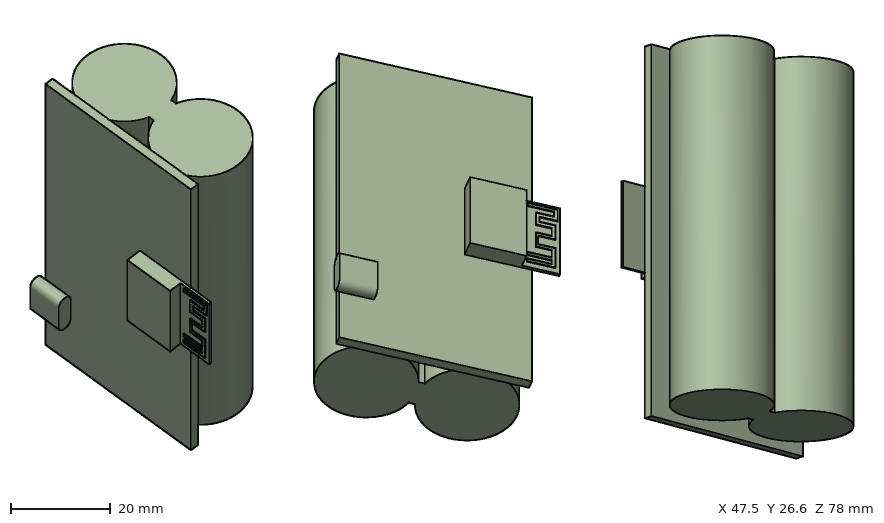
import cadquery as cq

BOARD_WIDTH = 40.7
BOARD_HEIGHT = 78.0
BOARD_THICKNESS = 2.0

CELL_DIAMETER = 21.0
CELL_SPACING = 21.3
CELL_HEIGHT = 74.25
WEB_DEPTH = 6.4
PACK_OFFSET_X = 0.15

USB_WIDTH = 8.0
USB_DEPTH = 3.35
USB_HEIGHT = 9.1
USB_CORNER_RADIUS = 1.55
USB_OVERHANG = 1.0
USB_CENTER_Z = -22.85

MODULE_LEFT = 6.1
MODULE_WIDTH = 20.0
MODULE_HEIGHT = 18.1
MODULE_CENTER_Z = 0.6
CAN_WIDTH = 11.9
CAN_DEPTH = 3.6
CARRIER_THICKNESS = 0.6
TRACE_THICKNESS = 0.2

TRACE_WIDTH = 0.8
TRACE_NECK_WIDTH = 0.5
UPPER_LOOP_RUN_WIDTH = 1.0
LEG_END_INSET = 7.0
LOOP_INSET = 5.15
RIGHT_COLUMN_INSET = 1.0
TOP_COLUMN_INSET = 0.55

TOP_RUN_DROP = 0.7
UPPER_LOOP_START_DROP = 2.8
UPPER_LOOP_END_DROP = 5.15
LOWER_LOOP_START_DROP = 8.3
LOWER_LOOP_END_DROP = 11.4
FEED_LEG_DROP = 14.2
GROUND_LEG_DROP = 16.0


def front_box(left, width, center_z, height, depth):
    """Box standing on the front face of the board and reaching toward -Y."""
    return (
        cq.Workplane("XY")
        .box(width, depth, height, centered=(False, False, True))
        .translate((left, -depth, center_z))
    )


def make_board():
    return cq.Workplane("XY").box(
        BOARD_WIDTH, BOARD_THICKNESS, BOARD_HEIGHT, centered=(True, False, True)
    )


def make_battery_pack():
    center_y = BOARD_THICKNESS + CELL_DIAMETER / 2
    cell_centers = [(-CELL_SPACING / 2, 0), (CELL_SPACING / 2, 0)]
    cells = cq.Workplane("XY").pushPoints(cell_centers).circle(CELL_DIAMETER / 2).extrude(CELL_HEIGHT)
    web = cq.Workplane("XY").rect(CELL_SPACING, WEB_DEPTH).extrude(CELL_HEIGHT)
    return cells.union(web).translate((PACK_OFFSET_X, center_y, -CELL_HEIGHT / 2))


def make_usb_socket():
    left = -BOARD_WIDTH / 2 - USB_OVERHANG
    socket = front_box(left, USB_WIDTH, USB_CENTER_Z, USB_HEIGHT, USB_DEPTH)
    return socket.edges("|X").fillet(USB_CORNER_RADIUS)


def make_antenna_trace():
    """Meandering trace with two legs at the bottom, raised from the carrier."""
    right_edge = MODULE_LEFT + MODULE_WIDTH
    top_edge = MODULE_CENTER_Z + MODULE_HEIGHT / 2

    leg_end = right_edge - LEG_END_INSET
    loop_outer = right_edge - LOOP_INSET
    upper_loop_inner = loop_outer + TRACE_WIDTH
    lower_loop_inner = loop_outer + TRACE_NECK_WIDTH
    column_outer = right_edge - RIGHT_COLUMN_INSET
    column_inner = column_outer - TRACE_WIDTH
    top_column_outer = right_edge - TOP_COLUMN_INSET
    top_column_inner = top_column_outer - TRACE_WIDTH

    top_run = top_edge - TOP_RUN_DROP
    upper_loop_start = top_edge - UPPER_LOOP_START_DROP
    upper_loop_end = top_edge - UPPER_LOOP_END_DROP
    lower_loop_start = top_edge - LOWER_LOOP_START_DROP
    lower_loop_end = top_edge - LOWER_LOOP_END_DROP
    feed_leg = top_edge - FEED_LEG_DROP
    ground_leg = top_edge - GROUND_LEG_DROP

    outline = [
        (leg_end, top_run),
        (top_column_outer, top_run),
        (top_column_outer, upper_loop_start - UPPER_LOOP_RUN_WIDTH),
        (upper_loop_inner, upper_loop_start - UPPER_LOOP_RUN_WIDTH),
        (upper_loop_inner, upper_loop_end),
        (column_outer, upper_loop_end),
        (column_outer, lower_loop_start - TRACE_WIDTH),
        (lower_loop_inner, lower_loop_start - TRACE_WIDTH),
        (lower_loop_inner, lower_loop_end),
        (column_outer, lower_loop_end),
        (column_outer, ground_leg - TRACE_WIDTH),
        (leg_end, ground_leg - TRACE_WIDTH),
        (leg_end, ground_leg),
        (column_inner, ground_leg),
        (column_inner, feed_leg - TRACE_WIDTH),
        (leg_end, feed_leg - TRACE_WIDTH),
        (leg_end, feed_leg),
        (column_inner, feed_leg),
        (column_inner, lower_loop_end - TRACE_WIDTH),
        (loop_outer, lower_loop_end - TRACE_WIDTH),
        (loop_outer, lower_loop_start),
        (column_inner, lower_loop_start),
        (column_inner, upper_loop_end - UPPER_LOOP_RUN_WIDTH),
        (loop_outer, upper_loop_end - UPPER_LOOP_RUN_WIDTH),
        (loop_outer, upper_loop_start),
        (top_column_inner, upper_loop_start),
        (top_column_inner, top_run - TRACE_WIDTH),
        (leg_end, top_run - TRACE_WIDTH),
    ]
    return (
        cq.Workplane("XZ", origin=(0, -CARRIER_THICKNESS, 0))
        .polyline(outline)
        .close()
        .extrude(TRACE_THICKNESS)
    )


def make_radio_module():
    carrier = front_box(MODULE_LEFT, MODULE_WIDTH, MODULE_CENTER_Z, MODULE_HEIGHT, CARRIER_THICKNESS)
    can = front_box(MODULE_LEFT, CAN_WIDTH, MODULE_CENTER_Z, MODULE_HEIGHT, CAN_DEPTH)
    return carrier.union(can).union(make_antenna_trace())


board = make_board()
battery_pack = make_battery_pack()
usb_socket = make_usb_socket()
radio_module = make_radio_module()

result = cq.Compound.makeCompound(
    [board.val(), battery_pack.val(), usb_socket.val(), radio_module.val()]
)